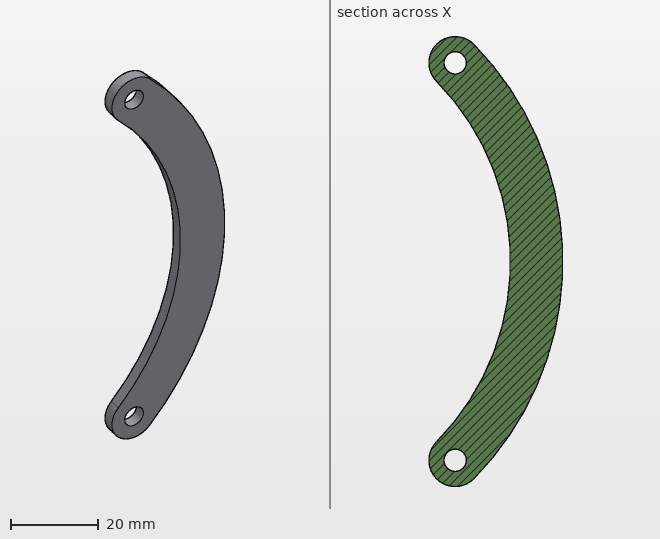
import cadquery as cq
import math

length = 102.5
depth = 30.5
thickness = 3.0

strip_width = 12.0
hole_diameter = 5.0

end_radius = strip_width / 2
half_chord = length / 2 - end_radius
bow = depth - strip_width
centre_radius = (half_chord**2 + bow**2) / (2 * bow)
end_angle = math.asin(half_chord / centre_radius)
outer_radius = centre_radius + end_radius
inner_radius = centre_radius - end_radius


def arc_point(radius, angle):
    """Point (Y, Z) on a circle about the bend centre, measured from +Y."""
    return (radius * math.cos(angle), radius * math.sin(angle))


def end_tip(side):
    """Tip of a rounded end, reached tangentially beyond the hole centre."""
    y, z = arc_point(centre_radius, side * end_angle)
    return (
        y - end_radius * math.sin(end_angle),
        z + side * end_radius * math.cos(end_angle),
    )


strip = (
    cq.Workplane("YZ")
    .moveTo(*arc_point(outer_radius, -end_angle))
    .threePointArc((outer_radius, 0), arc_point(outer_radius, end_angle))
    .threePointArc(end_tip(1), arc_point(inner_radius, end_angle))
    .threePointArc((inner_radius, 0), arc_point(inner_radius, -end_angle))
    .threePointArc(end_tip(-1), arc_point(outer_radius, -end_angle))
    .close()
    .extrude(thickness)
)

holes = (
    cq.Workplane("YZ")
    .pushPoints([arc_point(centre_radius, side * end_angle) for side in (-1, 1)])
    .circle(hole_diameter / 2)
    .extrude(thickness)
)

result = strip.cut(holes)